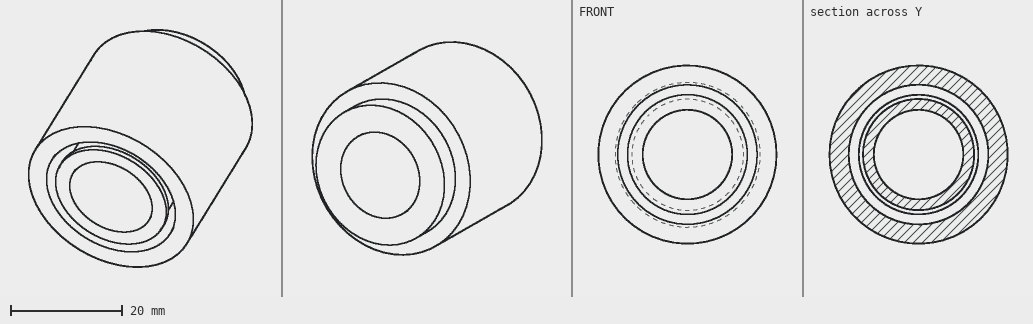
import cadquery as cq

length = 32.03
body_diameter = 32.0
bore_diameter = 16.0

collar_diameter = 26.0
collar_length = 4.23

groove_diameter = 25.0
tube_diameter = 20.0
lip_diameter = 21.5
lip_length = 1.0

body_length = length - collar_length
groove_depth = body_length - collar_length
front = -length / 2


def cylinder(diameter, start, depth):
    """Solid cylinder along +Y, starting `start` behind the front face."""
    plane = cq.Workplane("XZ", origin=(0, front + start, 0))
    return plane.circle(diameter / 2).extrude(-depth)


body = cylinder(body_diameter, 0, body_length)
collar = cylinder(collar_diameter, body_length, collar_length)

groove = cylinder(groove_diameter, 0, groove_depth)
tube = cylinder(tube_diameter, 0, body_length)
lip = cylinder(lip_diameter, 0, lip_length)

bore = cylinder(bore_diameter, 0, length)

result = body.union(collar).cut(groove).union(tube).union(lip).cut(bore)